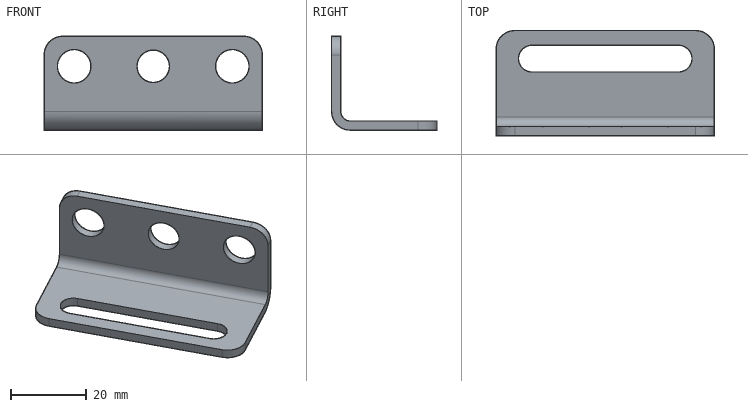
import cadquery as cq

length = 58.0
depth = 28.0
height = 25.0

thickness = 2.5
bend_inner_radius = 2.5
bend_outer_radius = bend_inner_radius + thickness
corner_radius = 5.0

hole_height = 17.0
outer_hole_diameter = 8.8
outer_hole_offset = 21.0
middle_hole_diameter = 8.5

slot_length = 46.0
slot_width = 7.0
slot_to_back_edge = 7.5


def bent_sheet():
    """L-shaped sheet, centred on X, with its outer bend along Y = 0, Z = 0."""
    profile = (
        cq.Workplane("YZ", origin=(-length / 2, 0, 0))
        .moveTo(depth, 0)
        .lineTo(depth, thickness)
        .lineTo(bend_outer_radius, thickness)
        .radiusArc((thickness, bend_outer_radius), bend_inner_radius)
        .lineTo(thickness, height)
        .lineTo(0, height)
        .lineTo(0, bend_outer_radius)
        .radiusArc((bend_outer_radius, 0), -bend_outer_radius)
        .close()
    )
    return profile.extrude(length)


def hole_cutter(x, diameter):
    return (
        cq.Workplane("XZ", origin=(x, 0, hole_height))
        .circle(diameter / 2)
        .extrude(-thickness)
    )


def slot_cutter():
    return (
        cq.Workplane("XY", origin=(0, depth - slot_to_back_edge, 0))
        .slot2D(slot_length, slot_width)
        .extrude(thickness)
    )


bracket = bent_sheet()

bracket = bracket.faces(">Y").edges("|Z").fillet(corner_radius)
bracket = bracket.faces(">Z").edges("|Y").fillet(corner_radius)

for hole_x in (-outer_hole_offset, outer_hole_offset):
    bracket = bracket.cut(hole_cutter(hole_x, outer_hole_diameter))
bracket = bracket.cut(hole_cutter(0, middle_hole_diameter))

result = bracket.cut(slot_cutter())